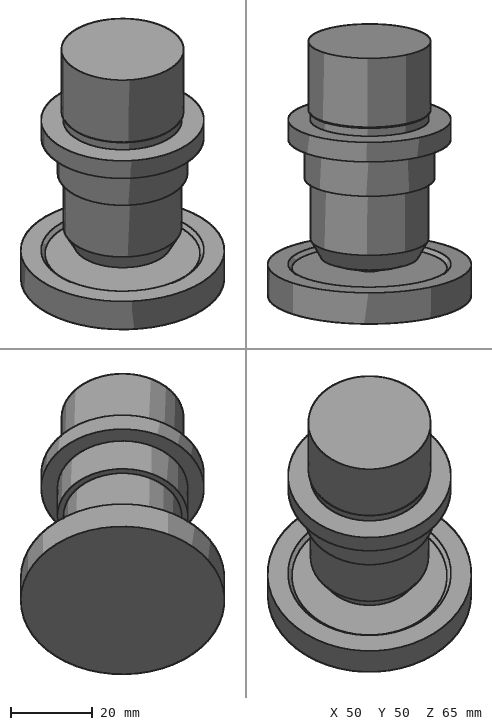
import cadquery as cq

total_height = 65.0
base_diameter = 50.0
base_height = 8.0
recess_diameter = 40.0
recess_depth = 1.0

pin_diameter = 6.6
pin_top = 9.0
spacer_diameter = 18.45
spacer_top = 10.0

nose_diameter = 24.0
nose_top = 14.5
barrel_diameter = 29.0
barrel_top = 30.0

collar_diameter = 32.0
collar_top = 40.0
flange_diameter = 40.0
flange_top = 45.0
neck_diameter = 29.2
neck_top = 47.0
cap_diameter = 30.0
cap_chamfer = (cap_diameter - neck_diameter) / 2


def cylinder(diameter, bottom, top):
    """Solid cylinder on the Z axis between two heights."""
    return cq.Workplane("XY").workplane(offset=bottom).circle(diameter / 2).extrude(top - bottom)


def cone(bottom_diameter, top_diameter, bottom, top):
    """Solid truncated cone on the Z axis between two heights."""
    return (
        cq.Workplane("XY").workplane(offset=bottom).circle(bottom_diameter / 2)
        .workplane(offset=top - bottom).circle(top_diameter / 2)
        .loft(ruled=True)
    )


recess_floor = base_height - recess_depth
recess_floor_diameter = recess_diameter - 2 * recess_depth
base = cylinder(base_diameter, 0, base_height)
base = base.cut(cone(recess_floor_diameter, recess_diameter, recess_floor, base_height))

body_sections = [
    cylinder(pin_diameter, recess_floor, pin_top),
    cylinder(spacer_diameter, pin_top, spacer_top),
    cone(nose_diameter, barrel_diameter, spacer_top, nose_top),
    cylinder(barrel_diameter, nose_top, barrel_top),
    cylinder(collar_diameter, barrel_top, collar_top),
    cylinder(flange_diameter, collar_top, flange_top),
    cylinder(neck_diameter, flange_top, neck_top),
    cylinder(cap_diameter, neck_top, total_height).faces("<Z").chamfer(cap_chamfer),
]

result = base
for section in body_sections:
    result = result.union(section)